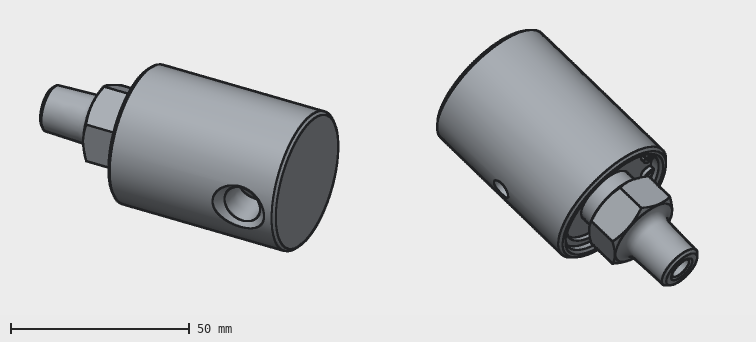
import cadquery as cq
import math


pipe_taper = 1 / 32

length = 80.7
body_start = 28.25
body_radius = 40.7 / 2
body_chamfer = 0.9

recess_radius = 35.0 / 2
recess_chamfer = 0.9
ring_depth = 2.5
ring_thickness = 1.45

ring_inner_radius = 15.5
eye_distance = 16.5
eye_half_angle = 17.7
eye_radius = 2.2
eye_hole_radius = 2.0 / 2

tip_chamfer = 0.9
nose_end = 12.7
nose_end_radius = 7.1
hex_sides = 6
hex_start = 15.9
hex_end = 26.9
hex_across_flats = 21.6
hex_chamfer_angle = 30.0
hex_face_radius = 10.65

shaft_radius = 17.85 / 2
bore_radius = 6.4 / 2
bore_chamfer_width = 0.8
bore_chamfer_depth = 0.5

port_x = 69.4
port_radius = 5.6
port_sink_radius = 8.1
vent_x = 53.0
vent_radius = 6.0 / 2

ring_front = body_start + ring_depth
recess_floor = ring_front + ring_thickness


def revolve_about_x(outline):
    """Revolve a closed (x, radius) outline about the X axis."""
    return outline.revolve(360, (0, 0, 0), (1, 0, 0))


def cylinder_x(radius, start, end):
    return cq.Workplane("YZ", origin=(start, 0, 0)).circle(radius).extrude(end - start)


def make_body():
    body = cylinder_x(body_radius, body_start, length).edges().chamfer(body_chamfer)
    mouth_radius = recess_radius + recess_chamfer
    recess = revolve_about_x(
        cq.Workplane("XY")
        .moveTo(body_start, 0)
        .lineTo(body_start, mouth_radius)
        .lineTo(body_start + recess_chamfer, recess_radius)
        .lineTo(recess_floor, recess_radius)
        .lineTo(recess_floor, 0)
        .close()
    )
    return body.cut(recess)


def make_retaining_ring():
    """Open ring against the recess wall; the gap lies between the eyes."""
    plane = cq.Workplane("YZ", origin=(ring_front, 0, 0))
    ring = plane.circle(recess_radius).circle(ring_inner_radius).extrude(ring_thickness)

    angle = math.radians(eye_half_angle)
    eye_y = -eye_distance * math.cos(angle)
    eye_z = eye_distance * math.sin(angle)
    eye_centers = [(eye_y, eye_z), (eye_y, -eye_z)]

    gap = plane.center(-recess_radius, 0).rect(recess_radius, 2 * eye_z).extrude(ring_thickness)
    eyes = plane.pushPoints(eye_centers).circle(eye_radius).extrude(ring_thickness)
    eyes = eyes.intersect(cylinder_x(recess_radius, ring_front, recess_floor))
    holes = plane.pushPoints(eye_centers).circle(eye_hole_radius).extrude(ring_thickness)
    return ring.cut(gap).union(eyes).cut(holes)


def make_hexagon():
    """Hexagon with corners at +Z and -Z, both ends turned to a cone."""
    half_side_angle = math.pi / hex_sides
    corner_radius = hex_across_flats / 2 / math.cos(half_side_angle)
    prism = (
        cq.Workplane("YZ", origin=(hex_start, 0, 0))
        .transformed(rotate=(0, 0, 90))
        .polygon(hex_sides, 2 * corner_radius)
        .extrude(hex_end - hex_start)
    )
    cone_length = (corner_radius - hex_face_radius) * math.tan(math.radians(hex_chamfer_angle))
    envelope = revolve_about_x(
        cq.Workplane("XY")
        .moveTo(hex_start, 0)
        .lineTo(hex_start, hex_face_radius)
        .lineTo(hex_start + cone_length, corner_radius)
        .lineTo(hex_end - cone_length, corner_radius)
        .lineTo(hex_end, hex_face_radius)
        .lineTo(hex_end, 0)
        .close()
    )
    return prism.intersect(envelope)


def make_nose():
    """Tapered nose with a chamfered tip, flaring in an arc up to the hexagon."""
    tip_radius = nose_end_radius - (nose_end - tip_chamfer) * pipe_taper
    flare_radius = hex_start - nose_end
    half_sweep = math.radians(45)
    flare_mid = (
        nose_end + flare_radius * math.sin(half_sweep),
        nose_end_radius + flare_radius * (1 - math.cos(half_sweep)),
    )
    return revolve_about_x(
        cq.Workplane("XY")
        .lineTo(0, tip_radius - tip_chamfer)
        .lineTo(tip_chamfer, tip_radius)
        .lineTo(nose_end, nose_end_radius)
        .threePointArc(flare_mid, (hex_start, nose_end_radius + flare_radius))
        .lineTo(hex_start, 0)
        .close()
    )


def make_bore():
    """Blind bore from the nose tip, ending level with the port axis."""
    return revolve_about_x(
        cq.Workplane("XY")
        .lineTo(0, bore_radius + bore_chamfer_width)
        .lineTo(bore_chamfer_depth, bore_radius)
        .lineTo(port_x, bore_radius)
        .lineTo(port_x, 0)
        .close()
    )


def make_port():
    """Tapered port with a 45 degree countersink, from the -Y side in to the shaft."""
    sink_bottom_y = port_sink_radius - port_radius - body_radius
    inner_radius = port_radius + sink_bottom_y * pipe_taper
    return (
        cq.Workplane("XY")
        .moveTo(port_x, -body_radius)
        .lineTo(port_x + port_sink_radius, -body_radius)
        .lineTo(port_x + port_radius, sink_bottom_y)
        .lineTo(port_x + inner_radius, 0)
        .lineTo(port_x, 0)
        .close()
        .revolve(360, (port_x, 0, 0), (port_x, 1, 0))
    )


def make_vent():
    """Plain hole from the +Y side in to the shaft."""
    return cq.Workplane("XZ", origin=(vent_x, 0, 0)).circle(vent_radius).extrude(-body_radius)


shaft = cylinder_x(shaft_radius, hex_start, length)
result = (
    make_body()
    .union(make_retaining_ring())
    .cut(make_port())
    .cut(make_vent())
    .union(shaft)
    .union(make_hexagon())
    .union(make_nose())
    .cut(make_bore())
)